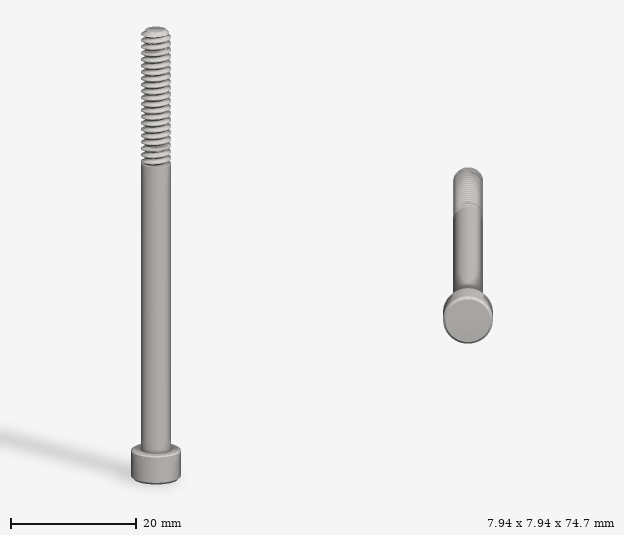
import cadquery as cq
import math

INCH = 25.4

head_diameter = 5 / 16 * INCH
head_height = 0.19 * INCH
head_bottom_chamfer = 0.4
head_top_chamfer = 0.2

shank_diameter = 0.19 * INCH
length_under_head = 2.75 * INCH

pitch = INCH / 24
thread_length = 7 / 8 * INCH
crest_flat = pitch / 8
root_flat = pitch / 16
flank_half_angle = math.radians(30)
thread_depth = (pitch - crest_flat - root_flat) / 2 / math.tan(flank_half_angle)
tip_chamfer = 0.8
crest_drop_at_plus_x = 0.32

head_radius = head_diameter / 2
shank_radius = shank_diameter / 2
root_radius = shank_radius - thread_depth
thread_start = length_under_head - thread_length


def make_head():
    head = cq.Workplane("XY").workplane(offset=-head_height).circle(head_radius).extrude(head_height)
    head = head.faces("<Z").chamfer(head_bottom_chamfer)
    return head.faces(">Z").chamfer(head_top_chamfer)


def make_shank():
    return cq.Workplane("XY").circle(shank_radius).extrude(thread_start)


def make_groove_cutter():
    """Trapezoidal helical cutter that overruns both ends of the thread."""
    overrun = 0.05
    extra_turns_below = 1
    extra_turns_above = 2
    outer_radius = shank_radius + overrun
    half_root = root_flat / 2
    half_mouth = half_root + (thread_depth + overrun) * math.tan(flank_half_angle)

    first_groove = length_under_head - crest_drop_at_plus_x - pitch / 2
    turns_down = math.ceil((first_groove - thread_start) / pitch) + extra_turns_below
    start = first_groove - turns_down * pitch
    helix_height = (turns_down + extra_turns_above) * pitch

    helix = cq.Wire.makeHelix(pitch, helix_height, root_radius)
    profile = cq.Workplane("XZ").polyline([
        (root_radius, -half_root),
        (outer_radius, -half_mouth),
        (outer_radius, half_mouth),
        (root_radius, half_root),
    ]).close()
    return profile.sweep(cq.Workplane(obj=helix), isFrenet=True).translate((0, 0, start))


def make_thread():
    rod_overlength = 3 * pitch
    rod = (
        cq.Workplane("XY")
        .workplane(offset=thread_start - rod_overlength)
        .circle(shank_radius)
        .extrude(thread_length + 2 * rod_overlength)
    )
    envelope = cq.Workplane("XY").workplane(offset=thread_start).circle(shank_radius).extrude(thread_length)
    envelope = envelope.faces(">Z").chamfer(tip_chamfer)
    return rod.cut(make_groove_cutter()).intersect(envelope)


result = make_head().union(make_shank()).union(make_thread())